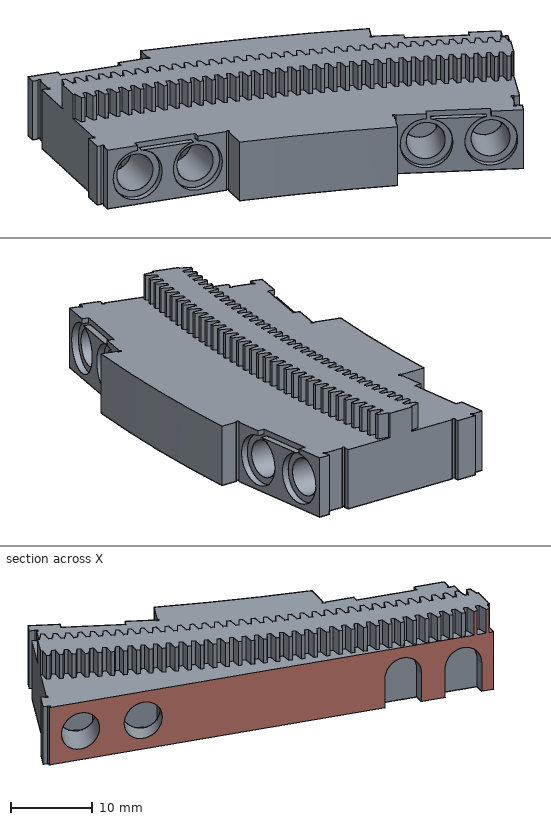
import cadquery as cq
import math

TRACK_RADIUS = 200.0
TEETH_PER_SIDE = 36
TOOTH_ANGLE = 0.45
SWEEP = TEETH_PER_SIDE * TOOTH_ANGLE

BODY_HEIGHT = 7.8
RACK_HEIGHT = 3.2

END_HALF_WIDTH = 12.83
END_LENGTH = 16.0
END_OVERLAP = 8.0
MIDDLE_HALF_WIDTH = 15.91

COUPLER_OFFSET = 9.8
TAB_WIDTH = 2.75
TAB_LENGTH = 0.7
NOTCH_WIDTH = 2.95
NOTCH_DEPTH = 0.9
RELIEF_RADIUS = 0.2

PIN_DIAMETER = 4.8
PIN_DEPTH = 7.8
ARCH_DEPTH = 11.2
RIM_DIAMETER = 6.5
RIM_DEPTH = 0.9
PIN_HEIGHT = BODY_HEIGHT / 2
PIN_SPACING = 8.0
PAIR_CENTRE = END_LENGTH / 2
SLOT_FLOOR = 7.1
SLOT_LENGTH = 8.0

TIP_RADIAL = 3.15
ROOT_RADIAL = 1.75
TIP_SHARE = 0.30
ROOT_SHARE = 0.30

PIVOT = (TRACK_RADIUS, 0)


def polar(radial, angle):
    """Point at a signed distance outside the centre line, at an angle along the track."""
    radius = TRACK_RADIUS + radial
    turn = math.radians(angle)
    return (TRACK_RADIUS - radius * math.cos(turn), radius * math.sin(turn))


def mirror_to_far_end(solid):
    """Mirror a feature of the near end across the middle of the sweep."""
    return solid.mirror("XZ").rotate((*PIVOT, 0), (*PIVOT, 1), -SWEEP)


def upright_block(x_centre, width, y_low, y_high):
    """Full-height block centred on x_centre."""
    return (
        cq.Workplane("XY")
        .box(width, y_high - y_low, BODY_HEIGHT, centered=(True, False, False))
        .translate((x_centre, y_low, 0))
    )


def relief_cutter(points):
    return cq.Workplane("XY").pushPoints(points).circle(RELIEF_RADIUS).extrude(BODY_HEIGHT)


def end_block():
    """Straight near end, long enough to merge with the curved middle."""
    return upright_block(0, 2 * END_HALF_WIDTH, 0, END_LENGTH + END_OVERLAP)


def shoulder_corner(radial):
    """Corner where the curved side at this radial distance meets the near shoulder."""
    radius = TRACK_RADIUS + radial
    return (TRACK_RADIUS - math.sqrt(radius**2 - END_LENGTH**2), END_LENGTH)


def far_point(point):
    """Mirror image of a near-end point across the middle of the sweep."""
    turn = math.radians(SWEEP)
    x = point[0] - PIVOT[0]
    y = -point[1]
    return (
        TRACK_RADIUS + x * math.cos(turn) + y * math.sin(turn),
        -x * math.sin(turn) + y * math.cos(turn),
    )


def curved_middle():
    """Wide middle bounded by two arcs about the pivot and by the two shoulders."""
    outer = shoulder_corner(MIDDLE_HALF_WIDTH)
    inner = shoulder_corner(-MIDDLE_HALF_WIDTH)
    return (
        cq.Workplane("XY")
        .moveTo(*outer)
        .threePointArc(polar(MIDDLE_HALF_WIDTH, SWEEP / 2), far_point(outer))
        .lineTo(*far_point(inner))
        .threePointArc(polar(-MIDDLE_HALF_WIDTH, SWEEP / 2), inner)
        .close()
        .extrude(BODY_HEIGHT)
    )


def coupler_tab(side):
    """Tab that stands out of the near end face and is rooted as far behind it."""
    return upright_block(side * COUPLER_OFFSET, TAB_WIDTH, -TAB_LENGTH, TAB_LENGTH)


def coupler_cutter(side):
    """Notch on one side, and the corner reliefs of the notch, the tab and the shoulders."""
    tab_x = side * COUPLER_OFFSET
    notch_x = -tab_x
    notch = upright_block(notch_x, NOTCH_WIDTH, -NOTCH_DEPTH, NOTCH_DEPTH)
    reliefs = [(sign * END_HALF_WIDTH, END_LENGTH) for sign in (-1, 1)]
    for sign in (-1, 1):
        reliefs.append((tab_x + sign * (TAB_WIDTH / 2 + RELIEF_RADIUS / 2), 0))
        reliefs.append((notch_x + sign * NOTCH_WIDTH / 2, NOTCH_DEPTH))
    return notch.union(relief_cutter(reliefs))


def side_bore(side, y, diameter, depth):
    """Round bore at pin height, going straight in from one side of the near end."""
    face = cq.Plane(origin=(side * END_HALF_WIDTH, y, PIN_HEIGHT), normal=(-side, 0, 0))
    return cq.Workplane(face).circle(diameter / 2).extrude(depth)


def arch_foot(side, y):
    """Straight-sided lower part of the arched pocket, from the end of the pin hole to its back."""
    foot = cq.Workplane("XY").box(
        ARCH_DEPTH - PIN_DEPTH, PIN_DIAMETER, PIN_HEIGHT, centered=(True, True, False)
    )
    return foot.translate((side * (END_HALF_WIDTH - (PIN_DEPTH + ARCH_DEPTH) / 2), y, 0))


def side_cutter(side):
    """Two counterbored pin holes in one side of the near end, joined by a slot open at the top."""
    cutter = (
        cq.Workplane("XY")
        .box(2 * RIM_DEPTH, SLOT_LENGTH, BODY_HEIGHT - SLOT_FLOOR, centered=(True, True, False))
        .translate((side * END_HALF_WIDTH, PAIR_CENTRE, SLOT_FLOOR))
    )
    for y in (PAIR_CENTRE - PIN_SPACING / 2, PAIR_CENTRE + PIN_SPACING / 2):
        cutter = cutter.union(side_bore(side, y, RIM_DIAMETER, RIM_DEPTH))
        cutter = cutter.union(side_bore(side, y, PIN_DIAMETER, ARCH_DEPTH))
        cutter = cutter.union(arch_foot(side, y))
    return cutter


def rack():
    """Curved rack with teeth on both sides; a half root is left at each end."""
    flank = (1 - TIP_SHARE - ROOT_SHARE) / 2
    profile = (
        (ROOT_SHARE / 2, ROOT_RADIAL),
        (ROOT_SHARE / 2 + flank, TIP_RADIAL),
        (1 - ROOT_SHARE / 2 - flank, TIP_RADIAL),
        (1 - ROOT_SHARE / 2, ROOT_RADIAL),
    )
    outer = [polar(ROOT_RADIAL, 0)]
    inner = [polar(-ROOT_RADIAL, 0)]
    for tooth in range(TEETH_PER_SIDE):
        for share, radial in profile:
            angle = (tooth + share) * TOOTH_ANGLE
            outer.append(polar(radial, angle))
            inner.append(polar(-radial, angle))
    outer.append(polar(ROOT_RADIAL, SWEEP))
    inner.append(polar(-ROOT_RADIAL, SWEEP))
    return (
        cq.Workplane("XY", origin=(0, 0, BODY_HEIGHT))
        .polyline(outer + inner[::-1])
        .close()
        .extrude(RACK_HEIGHT)
    )


NEAR_TAB_SIDE = 1

body = curved_middle()
body = body.union(end_block()).union(mirror_to_far_end(end_block()))
body = body.union(coupler_tab(NEAR_TAB_SIDE))
body = body.union(mirror_to_far_end(coupler_tab(-NEAR_TAB_SIDE)))
body = body.cut(coupler_cutter(NEAR_TAB_SIDE))
body = body.cut(mirror_to_far_end(coupler_cutter(-NEAR_TAB_SIDE)))
for side in (-1, 1):
    body = body.cut(side_cutter(side)).cut(mirror_to_far_end(side_cutter(side)))

result = body.union(rack())